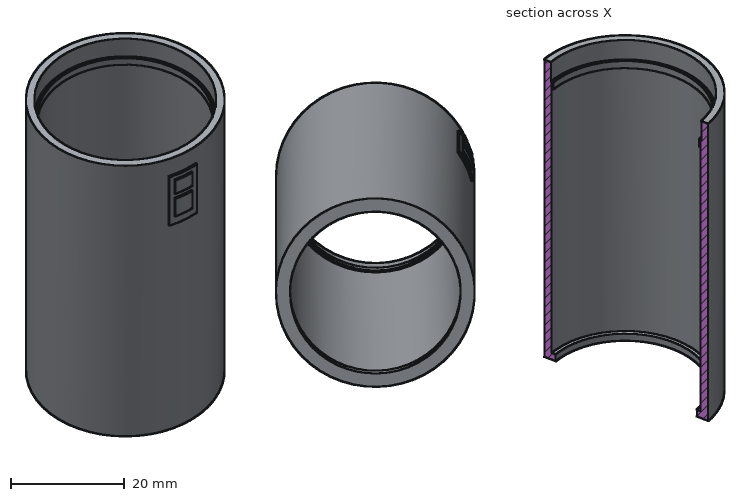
import cadquery as cq

TUBE_LENGTH = 64.0
TUBE_DIAMETER = 35.0
MOUTH_DIAMETER = 32.0
BORE_DIAMETER = 31.7

LIP_DIAMETER = 30.0
RING_BORE = 31.0
RING_DEPTH = 4.15
RING_HEIGHT = 1.55
LIP_HEIGHT = RING_HEIGHT

PLATE_THICKNESS = 0.3
BADGE_THICKNESS = 0.6
PLATE_WIDTH = 5.95
PLATE_DEPTHS = (4.0, 15.5)
BLOCK_WIDTH = 3.65
BLOCK_CENTER_Y = -0.2
BLOCK_DEPTHS = [(5.0, 8.2), (9.35, 13.5)]

TUBE_RADIUS = TUBE_DIAMETER / 2
PLATE_RADIUS = TUBE_RADIUS + PLATE_THICKNESS
BADGE_RADIUS = TUBE_RADIUS + BADGE_THICKNESS


def hollow_cylinder(outer_diameter, inner_diameter, height, bottom_z):
    """Ring around the Z axis that starts at bottom_z."""
    return (
        cq.Workplane("XY", origin=(0, 0, bottom_z))
        .circle(outer_diameter / 2)
        .circle(inner_diameter / 2)
        .extrude(height)
    )


def curved_pad(inner_radius, outer_radius, width, center_y, depths):
    """Rectangular patch of a cylindrical shell on the +X side, with depths below the tube mouth."""
    upper_depth, lower_depth = depths
    height = lower_depth - upper_depth
    bottom_z = TUBE_LENGTH - lower_depth
    shell = hollow_cylinder(2 * outer_radius, 2 * inner_radius, height, bottom_z)
    window = (
        cq.Workplane("XY", origin=(0, center_y, bottom_z))
        .rect(outer_radius, width)
        .extrude(height)
        .translate((outer_radius, 0, 0))
    )
    return shell.intersect(window)


def make_tube():
    """Straight tube with a slightly wider mouth down to the ring, and a lip at its foot."""
    wall = hollow_cylinder(TUBE_DIAMETER, BORE_DIAMETER, TUBE_LENGTH, 0)
    lip = hollow_cylinder(TUBE_DIAMETER, LIP_DIAMETER, LIP_HEIGHT, 0)
    mouth = (
        cq.Workplane("XY", origin=(0, 0, TUBE_LENGTH - RING_DEPTH))
        .circle(MOUTH_DIAMETER / 2)
        .extrude(RING_DEPTH)
    )
    return wall.union(lip).cut(mouth)


def make_ring():
    """Ring that fits the tube bore just below the mouth."""
    ring_bottom = TUBE_LENGTH - RING_DEPTH - RING_HEIGHT
    return hollow_cylinder(BORE_DIAMETER, RING_BORE, RING_HEIGHT, ring_bottom)


def make_badge_plate():
    """Thin plate wrapped on the outside of the tube."""
    return curved_pad(TUBE_RADIUS, PLATE_RADIUS, PLATE_WIDTH, 0, PLATE_DEPTHS)


def make_badge_block(depths):
    """Raised block that rests on the badge plate."""
    return curved_pad(PLATE_RADIUS, BADGE_RADIUS, BLOCK_WIDTH, BLOCK_CENTER_Y, depths)


tube = make_tube()
ring = make_ring()
badge_plate = make_badge_plate()
badge_blocks = [make_badge_block(depths) for depths in BLOCK_DEPTHS]

result = cq.Compound.makeCompound(
    [tube.val(), ring.val(), badge_plate.val(), *[block.val() for block in badge_blocks]]
)